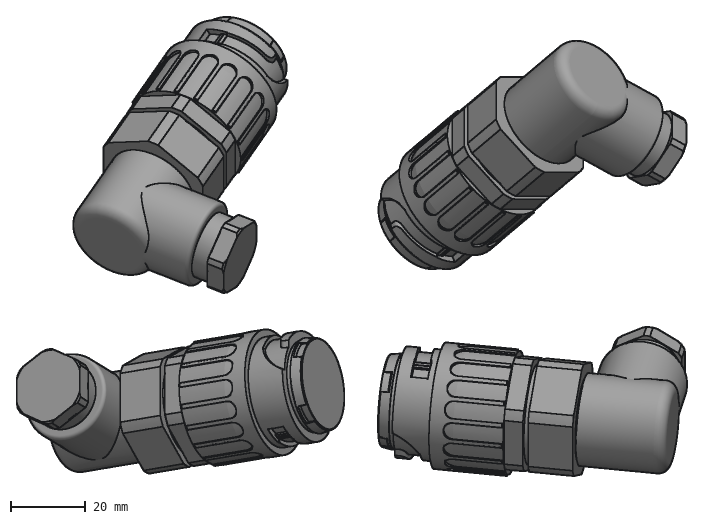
import cadquery as cq
import math


ELBOW_DIA = 25.0
ELBOW_LENGTH = 24.0
ELBOW_END_FILLET = 3.0
OUTLET_DIA = 24.0
OUTLET_END_X = 23.0
OUTLET_FILLET = 1.0
OUTLET_NECK_DIA = 18.6
CABLE_NUT_START_X = 27.7
CABLE_NUT_END_X = 32.7
CABLE_NUT_FLATS = 19.0
CABLE_NUT_CORNER_DIA = 21.0
CABLE_NUT_CHAMFER = 0.5

SEAT_DIA = 23.0
SEAT_LENGTH = 0.4
HEX_FLATS = 30.0
HEX_CORNER_DIA = 33.0
REAR_HEX_LENGTH = 12.1
HEX_GAP_DIA = 27.0
HEX_GAP_LENGTH = 1.4
FRONT_HEX_LENGTH = 5.1

GRIP_DIA = 34.0
GRIP_LENGTH = 20.0
GRIP_FLUTES = 18
FLUTE_WIDTH = 4.7
FLUTE_LENGTH = 16.15
FLUTE_DEPTH = 0.35
FLUTE_RAMP_START = 13.6
FLUTE_TIP_DEPTH = 0.75
RIB_SETBACK = 0.4

COLLAR_DIA = 30.0
COLLAR_LENGTH = 10.29
FRONT_DIA = 25.0
FRONT_NECK_LENGTH = 1.28
LIP_LENGTH = 3.15
LIP_DIA = 25.9
LIP_EDGE_CHAMFER = 0.3

NOTCH_COUNT = 4
NOTCH_ANGLE = 27.0
NOTCH_CENTER_ANGLE = 33.5
NOTCH_LENGTH = 2.65
NOTCH_FLOOR_LENGTH = 2.2
NOTCH_FLOOR_DIA = 24.6

GROOVE_FLOOR_DIA = 27.6
GROOVE_WIDTH = 4.2
GROOVE_SLOPE_ANGLE = 3.7
GROOVE_SETBACK = 3.74
GROOVE_POCKET_WIDTH = 4.65
GROOVE_POCKET_SETBACK = 3.65
GROOVE_START_ANGLE = 120.0
GROOVE_POCKET_END_ANGLE = 103.5
GROOVE_RIDGE_START_ANGLE = 100.0
GROOVE_RIDGE_END_ANGLE = 95.3
GROOVE_POCKET_FLOOR_DIA = 26.4
GROOVE_RIDGE_DIA = 27.9
ENTRY_WALL_X = 11.5
ENTRY_CORNER_FILLET = 1.8
ENTRY_EDGE_Z = 0.5
ENTRY_DEPTH = 7.9
ENTRY_DEPTH_Z = 12.5

ELBOW_END_Y = -OUTLET_DIA / 2
SEAT_Y = ELBOW_END_Y + ELBOW_LENGTH
REAR_HEX_Y = SEAT_Y + SEAT_LENGTH
HEX_GAP_Y = REAR_HEX_Y + REAR_HEX_LENGTH
FRONT_HEX_Y = HEX_GAP_Y + HEX_GAP_LENGTH
GRIP_Y = FRONT_HEX_Y + FRONT_HEX_LENGTH
COLLAR_Y = GRIP_Y + GRIP_LENGTH
FRONT_NECK_Y = COLLAR_Y + COLLAR_LENGTH
LIP_Y = FRONT_NECK_Y + FRONT_NECK_LENGTH
TIP_Y = LIP_Y + LIP_LENGTH

HEX_SIDES = 6
HEX_HALF_SECTOR = 180 / HEX_SIDES

ORIGIN = cq.Vector(0, 0, 0)
AXIS_Y = cq.Vector(0, 1, 0)
CLEARANCE = 1.0


def about_axis(shape, angle):
    """Turn a shape about the plug axis; positive angles go from +X towards +Z."""
    return shape.rotate(ORIGIN, AXIS_Y, -angle)


def disc(diameter, start_y, length):
    """Cylinder on the plug axis."""
    solid = cq.Solid.makeCylinder(diameter / 2, length, cq.Vector(0, start_y, 0), AXIS_Y)
    return cq.Workplane(obj=about_axis(solid, 180))


def rounded_hexagon(plane, flats, corner_dia, length):
    """Hexagonal bar with flats facing both ways along its plane's X axis and turned corners."""
    corner_distance = flats / math.cos(math.radians(HEX_HALF_SECTOR))
    bar = plane.polygon(HEX_SIDES, corner_distance).extrude(length)
    bar = bar.rotate(plane.plane.origin, plane.plane.origin + plane.plane.zDir, HEX_HALF_SECTOR)
    return bar.intersect(plane.circle(corner_dia / 2).extrude(length))


def sector(outer_dia, inner_dia, start_angle, end_angle, start_y, length):
    """Part of a ring about the plug axis between two angles."""
    def point(diameter, angle):
        turn = math.radians(angle)
        return (diameter / 2 * math.cos(turn), diameter / 2 * math.sin(turn))

    middle_angle = (start_angle + end_angle) / 2
    outline = (
        cq.Workplane(cq.Plane((0, start_y + length, 0), (1, 0, 0), (0, -1, 0)))
        .moveTo(*point(inner_dia, start_angle))
        .lineTo(*point(outer_dia, start_angle))
        .threePointArc(point(outer_dia, middle_angle), point(outer_dia, end_angle))
        .lineTo(*point(inner_dia, end_angle))
        .threePointArc(point(inner_dia, middle_angle), point(inner_dia, start_angle))
        .close()
    )
    return outline.extrude(length)


def make_elbow():
    tube = disc(ELBOW_DIA, ELBOW_END_Y, ELBOW_LENGTH).faces("<Y").edges().fillet(ELBOW_END_FILLET)
    side = cq.Workplane("YZ")
    outlet = side.circle(OUTLET_DIA / 2).extrude(OUTLET_END_X)
    outlet = outlet.faces(">X").edges().fillet(OUTLET_FILLET)
    neck = side.circle(OUTLET_NECK_DIA / 2).extrude(CABLE_NUT_START_X)
    return tube.union(outlet).union(neck)


def make_cable_nut():
    plane = cq.Workplane("YZ", origin=(CABLE_NUT_START_X, 0, 0))
    length = CABLE_NUT_END_X - CABLE_NUT_START_X
    nut = rounded_hexagon(plane, CABLE_NUT_FLATS, CABLE_NUT_CORNER_DIA, length)
    envelope = plane.circle(CABLE_NUT_CORNER_DIA / 2).extrude(length)
    return nut.intersect(envelope.faces(">X").chamfer(CABLE_NUT_CHAMFER))


def make_hexagon(start_y, length):
    plane = cq.Workplane(cq.Plane((0, start_y, 0), (1, 0, 0), (0, 1, 0)))
    return rounded_hexagon(plane, HEX_FLATS, HEX_CORNER_DIA, length)


def make_flute_core():
    """Body left under the flutes: a plain cylinder that tapers in at the flute tips."""
    floor_radius = GRIP_DIA / 2 - FLUTE_DEPTH
    tip_radius = GRIP_DIA / 2 - FLUTE_TIP_DEPTH
    ramp_y = GRIP_Y + FLUTE_RAMP_START
    tip_y = GRIP_Y + FLUTE_LENGTH
    return (
        cq.Workplane("XY")
        .moveTo(0, GRIP_Y)
        .lineTo(floor_radius, GRIP_Y)
        .lineTo(floor_radius, ramp_y)
        .lineTo(tip_radius, tip_y)
        .lineTo(0, tip_y)
        .close()
        .revolve(360, (0, 0, 0), (0, 1, 0))
    )


def make_grip_ring():
    """Ring with round-ended flutes cut through its outer shell, down to the core."""
    core = make_flute_core()
    shell = disc(GRIP_DIA, GRIP_Y + RIB_SETBACK, GRIP_LENGTH - RIB_SETBACK).cut(core)
    end_center_y = GRIP_Y + FLUTE_LENGTH - FLUTE_WIDTH / 2
    flute = (
        cq.Workplane("XY", origin=(0, 0, GRIP_DIA / 2 - FLUTE_TIP_DEPTH - CLEARANCE))
        .moveTo(-FLUTE_WIDTH / 2, GRIP_Y)
        .lineTo(FLUTE_WIDTH / 2, GRIP_Y)
        .lineTo(FLUTE_WIDTH / 2, end_center_y)
        .threePointArc((0, GRIP_Y + FLUTE_LENGTH), (-FLUTE_WIDTH / 2, end_center_y))
        .close()
        .extrude(FLUTE_TIP_DEPTH + 2 * CLEARANCE)
    )
    for index in range(GRIP_FLUTES):
        shell = shell.cut(about_axis(flute, index * 360 / GRIP_FLUTES))
    return shell.union(core)


def make_lip_notch():
    """Notch starting at +X, with a level floor and a sloping rear end."""
    outer_radius = LIP_DIA / 2
    floor_radius = NOTCH_FLOOR_DIA / 2
    notch = (
        cq.Workplane("XY")
        .moveTo(floor_radius, TIP_Y)
        .lineTo(floor_radius, TIP_Y - NOTCH_FLOOR_LENGTH)
        .lineTo(outer_radius, TIP_Y - NOTCH_LENGTH)
        .lineTo(outer_radius, TIP_Y)
        .close()
        .revolve(NOTCH_ANGLE, (0, 0, 0), (0, 1, 0))
    )
    return about_axis(notch, NOTCH_ANGLE / 2)


def make_front():
    neck = disc(FRONT_DIA, FRONT_NECK_Y, FRONT_NECK_LENGTH)
    lip = (
        cq.Workplane("XY")
        .moveTo(0, LIP_Y)
        .lineTo(LIP_DIA / 2, LIP_Y)
        .lineTo(FRONT_DIA / 2, TIP_Y - LIP_EDGE_CHAMFER)
        .lineTo(FRONT_DIA / 2 - LIP_EDGE_CHAMFER, TIP_Y)
        .lineTo(0, TIP_Y)
        .close()
        .revolve(360, (0, 0, 0), (0, 1, 0))
    )
    notch = make_lip_notch()
    for index in range(NOTCH_COUNT):
        lip = lip.cut(about_axis(notch, NOTCH_CENTER_ANGLE + index * 360 / NOTCH_COUNT))
    return neck.union(lip)


def make_run_prism():
    """Sloping run and its open entry, as a prism along Z above the plug axis."""
    slope = math.tan(math.radians(GROOVE_SLOPE_ANGLE))
    front_y = FRONT_NECK_Y - GROOVE_SETBACK
    rear_y = front_y - GROOVE_WIDTH
    start_x = -COLLAR_DIA / 2
    end_x = COLLAR_DIA / 2 + CLEARANCE
    corner_y = front_y + slope * ENTRY_WALL_X
    prism = (
        cq.Workplane("XY")
        .moveTo(start_x, rear_y + slope * start_x)
        .lineTo(end_x, rear_y + slope * end_x)
        .lineTo(end_x, FRONT_NECK_Y)
        .lineTo(ENTRY_WALL_X, FRONT_NECK_Y)
        .lineTo(ENTRY_WALL_X, corner_y)
        .lineTo(start_x, front_y + slope * start_x)
        .close()
        .extrude(COLLAR_DIA)
    )
    corner = cq.selectors.NearestToPointSelector((ENTRY_WALL_X, corner_y, COLLAR_DIA / 2))
    return prism.edges(corner).fillet(ENTRY_CORNER_FILLET)


def make_entry_sweep():
    """Space in front of the curved entry wall, as a prism along X.

    The wall is an arc that starts at the collar front and turns square to Y at its deepest point.
    """
    rise = ENTRY_DEPTH_Z - ENTRY_EDGE_Z
    radius = (rise ** 2 + ENTRY_DEPTH ** 2) / (2 * ENTRY_DEPTH)
    deepest_y = FRONT_NECK_Y - ENTRY_DEPTH
    half_turn = math.asin(rise / radius) / 2
    arc_middle = (
        deepest_y + radius * (1 - math.cos(half_turn)),
        ENTRY_DEPTH_Z - radius * math.sin(half_turn),
    )
    return (
        cq.Workplane("YZ")
        .moveTo(FRONT_NECK_Y, ENTRY_EDGE_Z)
        .threePointArc(arc_middle, (deepest_y, ENTRY_DEPTH_Z))
        .lineTo(deepest_y - CLEARANCE, ENTRY_DEPTH_Z)
        .lineTo(deepest_y - CLEARANCE, COLLAR_DIA)
        .lineTo(FRONT_NECK_Y, COLLAR_DIA)
        .close()
        .extrude(COLLAR_DIA)
    )


def make_groove():
    """One bayonet groove: locking pocket, step, ridge, sloping run and open entry."""
    pocket_y = FRONT_NECK_Y - GROOVE_POCKET_SETBACK - GROOVE_POCKET_WIDTH
    outer_dia = COLLAR_DIA + CLEARANCE

    def pocket_band(floor_dia, start_angle, end_angle):
        return sector(outer_dia, floor_dia, start_angle, end_angle, pocket_y, GROOVE_POCKET_WIDTH)

    pocket = pocket_band(GROOVE_POCKET_FLOOR_DIA, GROOVE_POCKET_END_ANGLE, GROOVE_START_ANGLE)
    step = pocket_band(GROOVE_FLOOR_DIA, GROOVE_RIDGE_START_ANGLE, GROOVE_POCKET_END_ANGLE)
    ridge = pocket_band(GROOVE_RIDGE_DIA, GROOVE_RIDGE_END_ANGLE, GROOVE_RIDGE_START_ANGLE)
    run = sector(outer_dia, GROOVE_FLOOR_DIA, 0, GROOVE_RIDGE_END_ANGLE, COLLAR_Y, COLLAR_LENGTH)
    entry_space = make_entry_sweep()
    entry_space = entry_space.union(entry_space.mirror("YZ"))
    run = run.intersect(make_run_prism()).intersect(entry_space)
    return pocket.union(step).union(ridge).union(run)


def make_collar():
    collar = disc(COLLAR_DIA, COLLAR_Y, COLLAR_LENGTH)
    groove = make_groove()
    return collar.cut(groove).cut(about_axis(groove, 180))


result = (
    make_elbow()
    .union(make_cable_nut())
    .union(disc(SEAT_DIA, SEAT_Y, SEAT_LENGTH))
    .union(make_hexagon(REAR_HEX_Y, REAR_HEX_LENGTH))
    .union(disc(HEX_GAP_DIA, HEX_GAP_Y, HEX_GAP_LENGTH))
    .union(make_hexagon(FRONT_HEX_Y, FRONT_HEX_LENGTH))
    .union(make_grip_ring())
    .union(make_collar())
    .union(make_front())
)